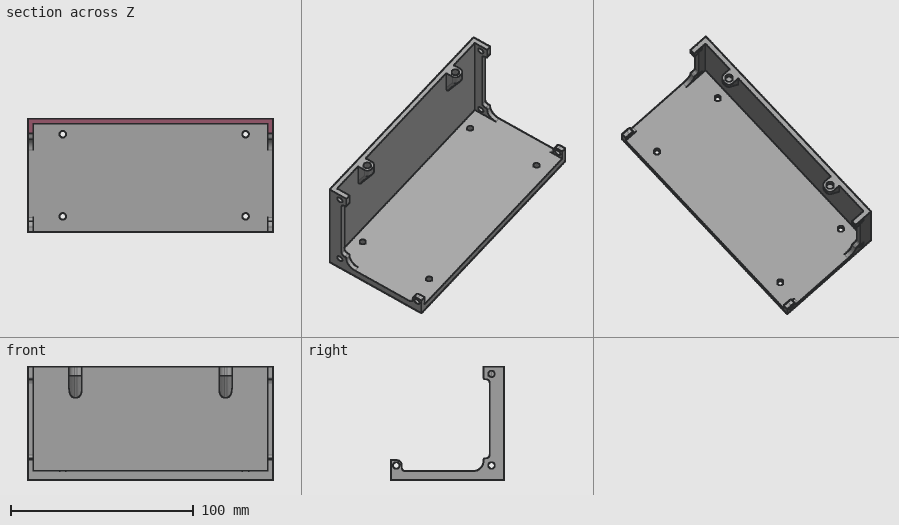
import cadquery as cq
import math

length = 134.0
depth = 62.0
height = 62.0

floor_thickness = 5.0
wall_thickness = 3.0

rib_thickness = 3.0
rib_depth = 8.0
lug_depth = 11.4
lug_height = 7.0
blend_radius = 2.0
corner_radius = 1.0
gusset_radius = 5.6
front_lug_size = 6.0
front_lug_radius = front_lug_size / 2

cross_hole_diameter = 3.5
rear_hole_y = -7.0
top_hole_drop = 4.0

floor_hole_diameter = 3.5
floor_hole_left_inset = 19.0
floor_hole_right_inset = 15.0
floor_hole_edge_inset = 8.6

boss_end_inset = 26.0
boss_width = 7.1
boss_front = 10.0
boss_corner_radius = 3.0
boss_straight_height = 5.0
boss_total_height = 17.0
boss_hole_diameter = 4.2
boss_hole_y = -6.5
boss_hole_depth = boss_straight_height


def circle_point(center_y, center_z, radius, degrees):
    """Point of a circle in the YZ plane at the given angle."""
    angle = math.radians(degrees)
    return (center_y + radius * math.cos(angle), center_z + radius * math.sin(angle))


def make_plates():
    floor = cq.Workplane("XY").box(length, depth, floor_thickness, centered=(True, False, False))
    wall = cq.Workplane("XY").box(length, wall_thickness, height, centered=(True, False, False))
    return floor.translate((0, -depth, 0)).union(wall.translate((0, -wall_thickness, 0)))


def make_rear_rib(x_start):
    """Upright rib with a gusset at its foot and a lug at its top."""
    gusset_top = floor_thickness + lug_height
    lug_bottom = height - lug_height
    blend_y = -rib_depth - blend_radius
    corner_y = -lug_depth + corner_radius
    gusset_toe_y = -lug_depth - gusset_radius
    gusset_center_z = floor_thickness + gusset_radius
    return (
        cq.Workplane("YZ", origin=(x_start, 0, 0))
        .moveTo(0, 0)
        .lineTo(gusset_toe_y, 0)
        .lineTo(gusset_toe_y, floor_thickness)
        .threePointArc(
            circle_point(gusset_toe_y, gusset_center_z, gusset_radius, -45),
            (-lug_depth, gusset_center_z),
        )
        .lineTo(-lug_depth, gusset_top - corner_radius)
        .threePointArc(
            circle_point(corner_y, gusset_top - corner_radius, corner_radius, 135),
            (corner_y, gusset_top),
        )
        .lineTo(blend_y, gusset_top)
        .threePointArc(
            circle_point(blend_y, gusset_top + blend_radius, blend_radius, -45),
            (-rib_depth, gusset_top + blend_radius),
        )
        .lineTo(-rib_depth, lug_bottom - blend_radius)
        .threePointArc(
            circle_point(blend_y, lug_bottom - blend_radius, blend_radius, 45),
            (blend_y, lug_bottom),
        )
        .lineTo(corner_y, lug_bottom)
        .threePointArc(
            circle_point(corner_y, lug_bottom + corner_radius, corner_radius, -135),
            (-lug_depth, lug_bottom + corner_radius),
        )
        .lineTo(-lug_depth, height)
        .lineTo(0, height)
        .close()
        .extrude(rib_thickness)
    )


def make_front_lug(x_start):
    """Small lug at the front edge, rounded at the top and blended into the floor."""
    lug_back_y = -depth + front_lug_size
    lug_top = floor_thickness + front_lug_size
    round_y = lug_back_y - front_lug_radius
    round_z = lug_top - front_lug_radius
    toe_y = lug_back_y + blend_radius
    blend_z = floor_thickness + blend_radius
    return (
        cq.Workplane("YZ", origin=(x_start, 0, 0))
        .moveTo(-depth, 0)
        .lineTo(-depth, lug_top)
        .lineTo(round_y, lug_top)
        .threePointArc(
            circle_point(round_y, round_z, front_lug_radius, 45),
            (lug_back_y, round_z),
        )
        .lineTo(lug_back_y, blend_z)
        .threePointArc(
            circle_point(toe_y, blend_z, blend_radius, -135),
            (toe_y, floor_thickness),
        )
        .lineTo(toe_y, 0)
        .close()
        .extrude(rib_thickness)
    )


def boss_outline(z, front_y):
    """Closed outline of a boss with two rounded front corners, reaching back to its root."""
    half_width = boss_width / 2
    round_x = half_width - boss_corner_radius
    round_y = front_y + boss_corner_radius
    middle_x, middle_y = circle_point(round_x, round_y, boss_corner_radius, -45)
    return (
        cq.Workplane("XY", origin=(0, 0, z))
        .moveTo(-half_width, front_y + boss_front)
        .lineTo(-half_width, round_y)
        .threePointArc((-middle_x, middle_y), (-round_x, front_y))
        .lineTo(round_x, front_y)
        .threePointArc((middle_x, middle_y), (half_width, round_y))
        .lineTo(half_width, front_y + boss_front)
        .close()
    )


def make_boss(x):
    """Upright boss whose lower part slants back until it runs into the wall."""
    slant_top = height - boss_straight_height
    slant_bottom = height - boss_total_height
    upper = boss_outline(slant_top, -boss_front).extrude(boss_straight_height)
    top_wire = boss_outline(slant_top, -boss_front).val()
    bottom_wire = boss_outline(slant_bottom, -wall_thickness).val()
    slanted = cq.Workplane(cq.Solid.makeLoft([bottom_wire, top_wire], True))
    in_front_of_back_face = cq.Workplane("XY").box(
        boss_width, boss_front, height, centered=(True, False, False)
    ).translate((0, -boss_front, 0))
    return upper.union(slanted.intersect(in_front_of_back_face)).translate((x, 0, 0))


def make_boss_hole(x):
    """Blind bore going down from the top of a boss."""
    bore = cq.Workplane("XY", origin=(x, boss_hole_y, height)).circle(boss_hole_diameter / 2)
    return bore.extrude(-boss_hole_depth)


def make_cross_holes():
    """Bores along X through both end ribs and the front lugs."""
    low_z = floor_thickness + front_lug_radius
    centers = [
        (rear_hole_y, low_z),
        (rear_hole_y, height - top_hole_drop),
        (-depth + front_lug_radius, low_z),
    ]
    bores = cq.Workplane("YZ").pushPoints(centers).circle(cross_hole_diameter / 2)
    return bores.extrude(length / 2, both=True)


def make_floor_holes():
    centers = [
        (x, y)
        for x in (-length / 2 + floor_hole_left_inset, length / 2 - floor_hole_right_inset)
        for y in (-floor_hole_edge_inset, -depth + floor_hole_edge_inset)
    ]
    bores = cq.Workplane("XY").pushPoints(centers).circle(floor_hole_diameter / 2)
    return bores.extrude(floor_thickness)


result = make_plates()
for rib_x in (-length / 2, length / 2 - rib_thickness):
    result = result.union(make_rear_rib(rib_x)).union(make_front_lug(rib_x))

result = result.cut(make_cross_holes()).cut(make_floor_holes())

boss_x = length / 2 - boss_end_inset
for x in (-boss_x, boss_x):
    result = result.union(make_boss(x)).cut(make_boss_hole(x))